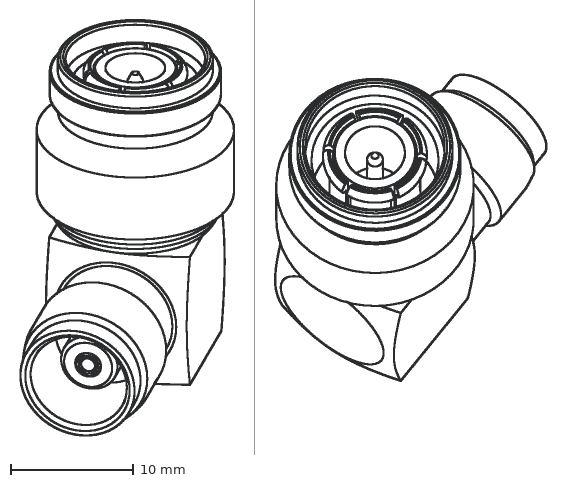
import cadquery as cq
import math


body_half = 6.0
body_end_radius = 5.2
body_cone_angle = 21.3
body_cone_margin = 1.0

cap_radius = 4.03
cap_bottom = -7.0
cap_chamfer = 0.15

plug_top = 21.35
nut_neck_radius = 6.36
nut_top_chamfer = 0.2
collar_radius = 7.03
collar_top = 20.05
collar_bottom = 17.7
collar_chamfer = 0.12
nut_radius = 8.1
nut_shoulder_top = 16.26
nut_shoulder_bottom = nut_shoulder_top - (nut_radius - nut_neck_radius)
nut_lower_edge = 8.7
nut_lower_cone = 1.05
lip_radius = 6.9
lip_edge = 7.15
lip_round_radius = 6.8
lip_round_edge = 6.92
nut_bottom = 6.48
nut_bottom_radius = 6.5
swivel_radius = 4.5

nut_mouth_radius = 5.92
nut_mouth_chamfer = 0.2
nut_bore_radius = nut_mouth_radius - nut_mouth_chamfer
nut_bore_end = plug_top - 1.87
plug_well_radius = 5.2
plug_well_cone = 0.5
plug_floor = 13.0

ring_top = plug_top - 0.87
ring_tip_radius = 3.85
ring_bulge_radius = 4.27
ring_bulge_height = 1.4
ring_outer_radius = 3.73
ring_mouth_radius = 3.69
ring_bore_radius = 3.45
ring_mouth_depth = 0.3
slot_count = 6
slot_width = 0.45
slot_depth = 5.0

insulator_top = plug_top - 1.05
insulator_radius = 3.3
insulator_bore_radius = 2.45
pin_top = plug_top - 1.55
pin_radius = 0.65
pin_tip_radius = 0.3
pin_taper = 0.7

jack_end = 17.3
barrel_radius = 4.87
sleeve_radius = 5.5
sleeve_start = 9.45
sleeve_start_chamfer = 0.6
sleeve_round_start = 13.9
sleeve_round_end = 15.0
sleeve_round_radius = 5.3
sleeve_end = 15.5

jack_mouth_radius = 4.45
jack_bore_radius = 4.1
jack_mouth_depth = 0.4
jack_floor = 9.5
jack_insulator_radius = 2.4
jack_insulator_tip_radius = 2.05
jack_insulator_end = 14.1
jack_insulator_chamfer = 0.35
contact_radius = 1.1
contact_tip_radius = 0.95
contact_hole_radius = 0.6
contact_mouth_radius = 0.75
contact_projection = 0.15
contact_hole_depth = 3.0


def revolve_plug(points):
    """Turn a closed (radius, height) outline about the plug axis."""
    return cq.Workplane("XZ").polyline(points).close().revolve(360, (0, 0), (0, 1))


def revolve_jack(points):
    """Turn a closed (radius, distance) outline about the jack axis, towards -Y."""
    outline = [(radius, -distance) for radius, distance in points]
    return cq.Workplane("XY").polyline(outline).close().revolve(360, (0, 0), (0, 1))


def make_body():
    block = cq.Workplane("XY").box(2 * body_half, 2 * body_half, 2 * body_half)
    corner_radius = body_half * math.sqrt(2) + body_cone_margin
    cone_length = (corner_radius - body_end_radius) * math.tan(math.radians(body_cone_angle))
    turned = revolve_jack([
        (0, -body_half),
        (body_end_radius, -body_half),
        (corner_radius, cone_length - body_half),
        (corner_radius, body_half - cone_length),
        (body_end_radius, body_half),
        (0, body_half),
    ])
    return block.intersect(turned)


def make_cap():
    cap = cq.Workplane("XY").workplane(offset=cap_bottom).circle(cap_radius).extrude(-cap_bottom)
    return cap.faces("<Z").chamfer(cap_chamfer)


def make_nut():
    return revolve_plug([
        (0, 0),
        (swivel_radius, 0),
        (swivel_radius, nut_bottom),
        (nut_bottom_radius, nut_bottom),
        (lip_round_radius, lip_round_edge),
        (lip_radius, lip_edge),
        (lip_radius, nut_lower_edge - nut_lower_cone),
        (nut_radius - nut_lower_cone, nut_lower_edge - nut_lower_cone),
        (nut_radius, nut_lower_edge),
        (nut_radius, nut_shoulder_bottom),
        (nut_neck_radius, nut_shoulder_top),
        (nut_neck_radius, collar_bottom),
        (collar_radius - collar_chamfer, collar_bottom),
        (collar_radius, collar_bottom + collar_chamfer),
        (collar_radius, collar_top - collar_chamfer),
        (collar_radius - collar_chamfer, collar_top),
        (nut_neck_radius, collar_top),
        (nut_neck_radius, plug_top - nut_top_chamfer),
        (nut_neck_radius - nut_top_chamfer, plug_top),
        (0, plug_top),
    ])


def make_plug_well():
    return revolve_plug([
        (0, plug_floor),
        (plug_well_radius, plug_floor),
        (plug_well_radius, nut_bore_end - plug_well_cone),
        (nut_bore_radius, nut_bore_end),
        (nut_bore_radius, plug_top - nut_mouth_chamfer),
        (nut_mouth_radius, plug_top),
        (0, plug_top),
    ])


def make_spring_ring():
    bulge_middle = ring_top - ring_bulge_height / 2
    bulge_bottom = ring_top - ring_bulge_height
    ring = (
        cq.Workplane("XZ")
        .moveTo(ring_bore_radius, plug_floor)
        .lineTo(ring_outer_radius, plug_floor)
        .lineTo(ring_outer_radius, bulge_bottom)
        .threePointArc((ring_bulge_radius, bulge_middle), (ring_tip_radius, ring_top))
        .lineTo(ring_mouth_radius, ring_top)
        .lineTo(ring_bore_radius, ring_top - ring_mouth_depth)
        .close()
        .revolve(360, (0, 0), (0, 1))
    )
    slot = (
        cq.Workplane("XY")
        .workplane(offset=ring_top - slot_depth)
        .center(0, ring_bulge_radius / 2)
        .rect(slot_width, ring_bulge_radius + slot_width)
        .extrude(slot_depth)
    )
    for index in range(slot_count):
        ring = ring.cut(slot.rotate((0, 0, 0), (0, 0, 1), index * 360 / slot_count))
    return ring


def make_plug_insulator():
    return (
        cq.Workplane("XY")
        .workplane(offset=plug_floor)
        .circle(insulator_radius)
        .circle(insulator_bore_radius)
        .extrude(insulator_top - plug_floor)
    )


def make_pin():
    return revolve_plug([
        (0, plug_floor),
        (pin_radius, plug_floor),
        (pin_radius, pin_top - pin_taper),
        (pin_tip_radius, pin_top),
        (0, pin_top),
    ])


def make_jack_barrel():
    return revolve_jack([
        (0, 0),
        (barrel_radius, 0),
        (barrel_radius, sleeve_start),
        (sleeve_radius, sleeve_start + sleeve_start_chamfer),
        (sleeve_radius, sleeve_round_start),
        (sleeve_round_radius, sleeve_round_end),
        (barrel_radius, sleeve_end),
        (barrel_radius, jack_end),
        (0, jack_end),
    ])


def make_jack_bore():
    return revolve_jack([
        (0, jack_floor),
        (jack_bore_radius, jack_floor),
        (jack_bore_radius, jack_end - jack_mouth_depth),
        (jack_mouth_radius, jack_end),
        (0, jack_end),
    ])


def make_jack_core():
    contact_end = jack_insulator_end + contact_projection
    contact_edge = contact_radius - contact_tip_radius
    return revolve_jack([
        (0, jack_floor),
        (jack_insulator_radius, jack_floor),
        (jack_insulator_radius, jack_insulator_end - jack_insulator_chamfer),
        (jack_insulator_tip_radius, jack_insulator_end),
        (contact_radius, jack_insulator_end),
        (contact_tip_radius, jack_insulator_end + contact_edge),
        (contact_mouth_radius, contact_end),
        (contact_hole_radius, contact_end - contact_edge),
        (contact_hole_radius, contact_end - contact_hole_depth),
        (0, contact_end - contact_hole_depth),
    ])


result = make_body().union(make_cap()).union(make_nut()).union(make_jack_barrel())
result = result.cut(make_plug_well()).cut(make_jack_bore())
result = result.union(make_spring_ring()).union(make_plug_insulator()).union(make_pin())
result = result.union(make_jack_core())